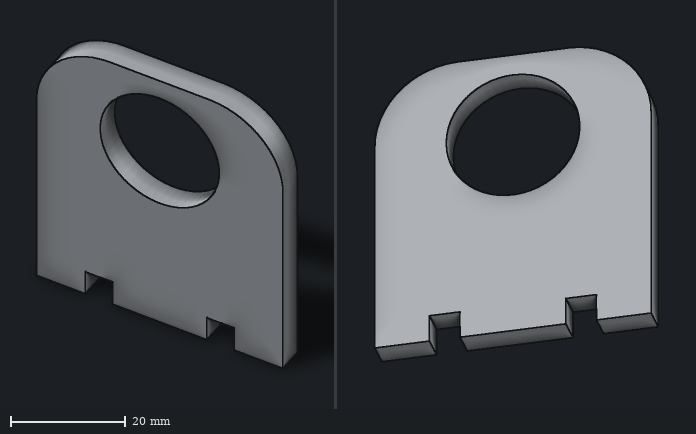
import cadquery as cq

width = 50.0
thickness = 5.1
height = 55.55
corner_radius = 15.0

hole_diameter = 24.1
hole_height = 39.45

notch_width = 5.5
notch_depth = thickness
notch_offset = 12.35


def make_plate():
    plate = cq.Workplane("XY").box(width, thickness, height, centered=(True, True, False))
    return plate.edges("|Y and >Z").fillet(corner_radius)


def make_window():
    return (
        cq.Workplane("XZ", origin=(0, thickness / 2, 0))
        .center(0, hole_height)
        .circle(hole_diameter / 2)
        .extrude(thickness)
    )


def make_notch(center_x):
    notch = cq.Workplane("XY").box(notch_width, thickness, notch_depth, centered=(True, True, False))
    return notch.translate((center_x, 0, 0))


result = make_plate().cut(make_window())
for side in (-1, 1):
    result = result.cut(make_notch(side * notch_offset))